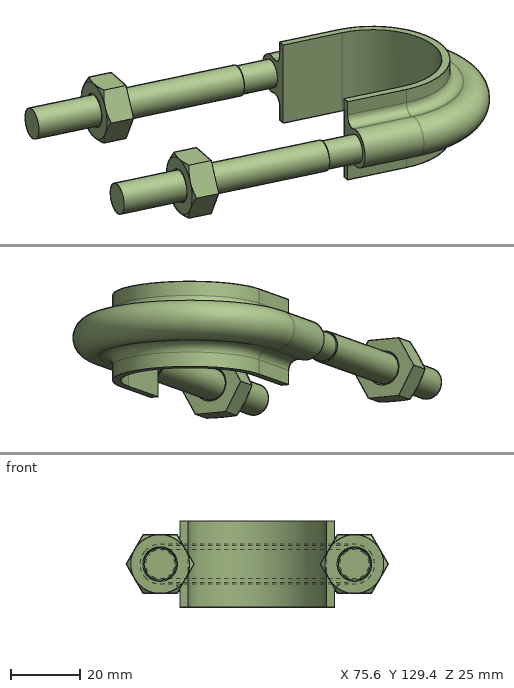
import cadquery as cq
import math


LEG_SPACING = 56.0
BEND_RADIUS = LEG_SPACING / 2
SHANK_DIAMETER = 8.4
THREAD_DIAMETER = 9.2
THREAD_START_Y = -29.6

TUBE_DIAMETER = 11.5
BAND_INNER_WIDTH = 40.0
BAND_THICKNESS = 2.3
BAND_HEIGHT = 25.0
SADDLE_LEG_LENGTH = 18.9
NECK_FILLET = 3.0

TOTAL_LENGTH = 129.4
LEG_END_Y = BEND_RADIUS + TUBE_DIAMETER / 2 - TOTAL_LENGTH

NUT_ACROSS_FLATS = 17.0
NUT_ACROSS_CORNERS = NUT_ACROSS_FLATS / math.cos(math.pi / 6)
NUT_THICKNESS = 7.9
NUT_TOP_Y = -67.8
NUT_CHAMFER_ANGLE = math.radians(30)
NUT_FACE_DIAMETER = NUT_ACROSS_FLATS
COUNTERSINK_DIAMETER = 10.0


def sweep_half_turn(profile):
    """Revolve a radial profile in the XZ plane around Z, through the +Y half."""
    return profile.revolve(180, (0, 0), (0, 1))


def u_shape(profile, leg_length):
    """Carry a profile on the +X leg around the bend and down both straight legs."""
    bend = sweep_half_turn(profile)
    right_leg = profile.toPending().extrude(leg_length)
    left_leg = right_leg.mirror("YZ")
    return bend.union(right_leg).union(left_leg)


def rod_profile(diameter):
    return cq.Workplane("XZ").moveTo(BEND_RADIUS, 0).circle(diameter / 2)


def saddle_profile():
    """Band and tube section, joined by a concave arc tangent to both."""
    tube_radius = TUBE_DIAMETER / 2
    inner_x = BAND_INNER_WIDTH / 2
    outer_x = inner_x + BAND_THICKNESS
    half_height = BAND_HEIGHT / 2

    fillet_x = outer_x + NECK_FILLET
    centre_distance = tube_radius + NECK_FILLET
    fillet_z = math.sqrt(centre_distance**2 - (BEND_RADIUS - fillet_x) ** 2)
    tangent_x = BEND_RADIUS + (fillet_x - BEND_RADIUS) * tube_radius / centre_distance
    tangent_z = fillet_z * tube_radius / centre_distance

    toward_tube = math.atan2(tangent_z - fillet_z, tangent_x - fillet_x)
    middle_angle = (toward_tube - math.pi) / 2
    middle_x = fillet_x + NECK_FILLET * math.cos(middle_angle)
    middle_z = fillet_z + NECK_FILLET * math.sin(middle_angle)

    return (
        cq.Workplane("XZ")
        .moveTo(inner_x, -half_height)
        .lineTo(outer_x, -half_height)
        .lineTo(outer_x, -fillet_z)
        .threePointArc((middle_x, -middle_z), (tangent_x, -tangent_z))
        .threePointArc((BEND_RADIUS + tube_radius, 0), (tangent_x, tangent_z))
        .threePointArc((middle_x, middle_z), (outer_x, fillet_z))
        .lineTo(outer_x, half_height)
        .lineTo(inner_x, half_height)
        .close()
    )


def make_saddle():
    body = u_shape(saddle_profile(), SADDLE_LEG_LENGTH)
    bore = u_shape(rod_profile(SHANK_DIAMETER), SADDLE_LEG_LENGTH)
    return body.cut(bore)


def make_u_bolt():
    bolt = u_shape(rod_profile(SHANK_DIAMETER), -THREAD_START_Y)
    for x in (-BEND_RADIUS, BEND_RADIUS):
        thread = (
            cq.Workplane("XZ", origin=(x, THREAD_START_Y, 0))
            .circle(THREAD_DIAMETER / 2)
            .extrude(THREAD_START_Y - LEG_END_Y)
        )
        bolt = bolt.union(thread)
    return bolt


def make_nut(x):
    """Hexagon nut with corners on X, a countersunk hole and its -Y face chamfered to a circle."""
    nut = (
        cq.Workplane("XZ", origin=(x, NUT_TOP_Y, 0))
        .polygon(6, NUT_ACROSS_CORNERS)
        .circle(THREAD_DIAMETER / 2)
        .extrude(NUT_THICKNESS)
    )
    countersink_depth = (COUNTERSINK_DIAMETER - THREAD_DIAMETER) / 2
    nut = nut.edges("%CIRCLE").chamfer(countersink_depth)

    face_radius = NUT_FACE_DIAMETER / 2
    corner_radius = NUT_ACROSS_CORNERS / 2
    chamfer_depth = (corner_radius - face_radius) * math.tan(NUT_CHAMFER_ANGLE)
    envelope = (
        cq.Workplane("XY", origin=(x, NUT_TOP_Y, 0))
        .lineTo(corner_radius, 0)
        .lineTo(corner_radius, chamfer_depth - NUT_THICKNESS)
        .lineTo(face_radius, -NUT_THICKNESS)
        .lineTo(0, -NUT_THICKNESS)
        .close()
        .revolve(360, (0, 0), (0, 1))
    )
    return nut.intersect(envelope)


saddle = make_saddle()
u_bolt = make_u_bolt()
nuts = [make_nut(x) for x in (-BEND_RADIUS, BEND_RADIUS)]

result = cq.Compound.makeCompound(
    [saddle.val(), u_bolt.val(), *[nut.val() for nut in nuts]]
)